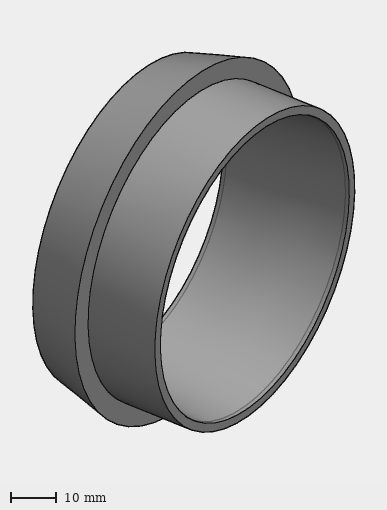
import cadquery as cq

total_length = 32.0
collar_length = 14.0
collar_front_diameter = 78.5
collar_back_diameter = 86.0
spigot_diameter = 76.0

bore_front_diameter = 66.0
bore_back_diameter = 71.8
bore_land_length = 1.0

half_section = (
    cq.Workplane("XZ")
    .moveTo(0, bore_front_diameter / 2)
    .lineTo(0, collar_front_diameter / 2)
    .lineTo(collar_length, collar_back_diameter / 2)
    .lineTo(collar_length, spigot_diameter / 2)
    .lineTo(total_length, spigot_diameter / 2)
    .lineTo(total_length, bore_back_diameter / 2)
    .lineTo(total_length - bore_land_length, bore_back_diameter / 2)
    .lineTo(bore_land_length, bore_front_diameter / 2)
    .close()
)

result = half_section.revolve(360, (0, 0, 0), (1, 0, 0))